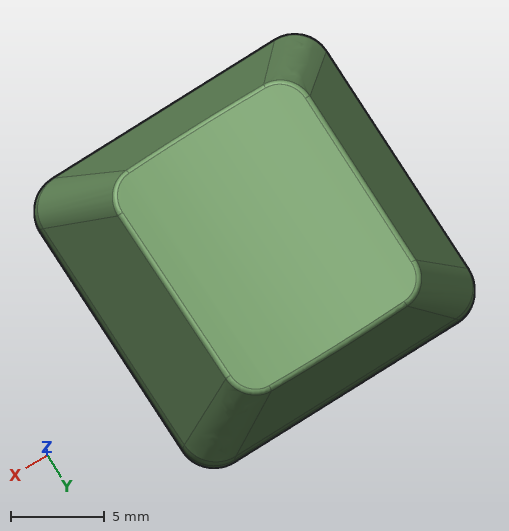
import cadquery as cq

side = 18.16
corner_radius = 2.0
top_corner_radius = 1.76

skirt_height = 0.73
blend_height = 0.62
blend_top = skirt_height + blend_height

side_slope = 0.376
front_slope = 0.405
back_slope = 0.086

dish_radius = 34.87
dish_floor_height = 8.73
dish_tilt = 0.9
rim_radius = 0.27

blank_height = 10.9


def outline(base_height, height, rise, radius):
    """Rounded rectangle at a height, drawn in as far as the walls lean over the given rise."""
    width = side - 2 * side_slope * rise
    depth = side - (front_slope + back_slope) * rise
    y_center = (front_slope - back_slope) * rise / 2
    sketch = cq.Sketch().rect(width, depth).vertices().fillet(radius)
    return sketch.moved(cq.Location(cq.Vector(0, y_center, height - base_height)))


def loft_outlines(base_height, outlines, ruled):
    """Solid through a stack of outlines that starts at base_height."""
    plane = cq.Workplane("XY", origin=(0, 0, base_height))
    return plane.placeSketch(*outlines).loft(ruled=ruled)


def make_skirt():
    base = cq.Workplane("XY").placeSketch(outline(0, 0, 0, corner_radius))
    return base.extrude(skirt_height)


def make_blend():
    """Parabolic rounding that starts upright and ends at the slope of the walls."""
    outlines = []
    for fraction in (0, 0.5, 1):
        height = skirt_height + fraction * blend_height
        rise = fraction**2 * blend_height / 2
        outlines.append(outline(skirt_height, height, rise, corner_radius))
    return loft_outlines(skirt_height, outlines, ruled=False)


def make_slopes():
    """Straight sloping walls above the blend."""
    bottom_rise = blend_height / 2
    top_rise = bottom_rise + blank_height - blend_top
    lower = outline(blend_top, blend_top, bottom_rise, corner_radius)
    upper = outline(blend_top, blank_height, top_rise, top_corner_radius)
    return loft_outlines(blend_top, (lower, upper), ruled=True)


def make_dish_cutter():
    """Long cylinder whose lowest line is the floor of the dish."""
    cylinder = cq.Workplane("XZ").circle(dish_radius).extrude(side, both=True)
    cylinder = cylinder.translate((0, 0, dish_floor_height + dish_radius))
    pivot = (0, 0, dish_floor_height)
    return cylinder.rotate(pivot, (1, 0, dish_floor_height), dish_tilt)


body = make_skirt().union(make_blend()).union(make_slopes())
dished = body.cut(make_dish_cutter())
result = dished.faces(">Z").edges().fillet(rim_radius)